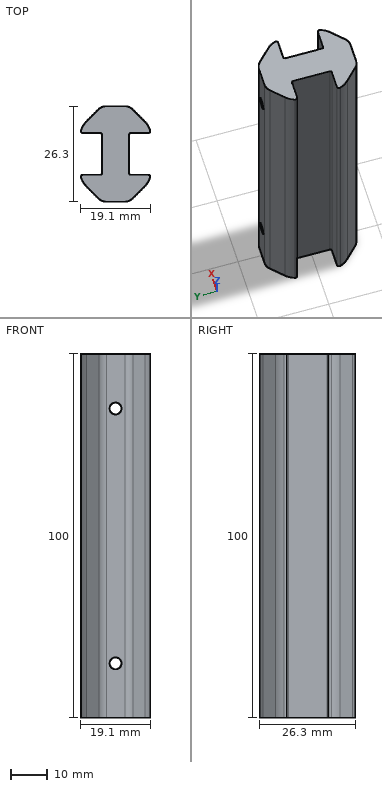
import cadquery as cq
import math

length = 100.0
half_width = 19.1 / 2
half_depth = 26.3 / 2
half_web = 3.75
half_slot = 5.7
corner_half_width = 3.8
crown_radius = 3.0
flank_radius = 6.0
lip_radius = 0.6
root_radius = 0.4
hole_diameter = 3.2
hole_end_distance = 15.0

slope_angle = math.radians(45)
diagonal = math.cos(slope_angle)


def on_circle(center, radius, angle):
    """Point on a circle at an angle measured from +X."""
    return (center[0] + radius * math.cos(angle), center[1] + radius * math.sin(angle))


def flange_profile():
    """Closed outline of the +X, +Y quarter of the section."""
    crown_tangent = crown_radius * math.tan(slope_angle / 2)
    crown_center = (corner_half_width - crown_tangent, half_depth - crown_radius)

    lip_center = (half_width - lip_radius, half_slot + lip_radius)
    lip_to_slope = (corner_half_width + half_depth - sum(lip_center)) * diagonal
    across_slope = flank_radius - lip_to_slope
    along_slope = math.sqrt((flank_radius - lip_radius) ** 2 - across_slope**2)
    flank_center = (
        lip_center[0] - (across_slope + along_slope) * diagonal,
        lip_center[1] - (across_slope - along_slope) * diagonal,
    )
    join_angle = math.atan2(lip_center[1] - flank_center[1], lip_center[0] - flank_center[0])

    root_center = (half_web + root_radius, half_slot - root_radius)

    quarter = math.pi / 2
    crown_middle = (slope_angle + quarter) / 2
    flank_middle = (slope_angle + join_angle) / 2
    lip_middle = (join_angle - quarter) / 2
    root_middle = 3 * math.pi / 4
    return (
        cq.Workplane("XY")
        .moveTo(0, 0)
        .lineTo(0, half_depth)
        .lineTo(crown_center[0], half_depth)
        .threePointArc(
            on_circle(crown_center, crown_radius, crown_middle),
            on_circle(crown_center, crown_radius, slope_angle),
        )
        .lineTo(*on_circle(flank_center, flank_radius, slope_angle))
        .threePointArc(
            on_circle(flank_center, flank_radius, flank_middle),
            on_circle(flank_center, flank_radius, join_angle),
        )
        .threePointArc(
            on_circle(lip_center, lip_radius, lip_middle),
            (lip_center[0], half_slot),
        )
        .lineTo(root_center[0], half_slot)
        .threePointArc(
            on_circle(root_center, root_radius, root_middle),
            (half_web, root_center[1]),
        )
        .lineTo(half_web, 0)
        .close()
    )


def bar():
    """I-shaped bar, mirrored from one quarter and centred on the origin."""
    quarter_bar = flange_profile().extrude(length / 2, both=True)
    half_bar = quarter_bar.union(quarter_bar.mirror("YZ"))
    return half_bar.union(half_bar.mirror("XZ")).clean()


def cross_holes():
    """Two holes running along Y through both flanges and the web."""
    hole_height = length / 2 - hole_end_distance
    return (
        cq.Workplane("XZ")
        .pushPoints([(0, -hole_height), (0, hole_height)])
        .circle(hole_diameter / 2)
        .extrude(half_depth, both=True)
    )


result = bar().cut(cross_holes())